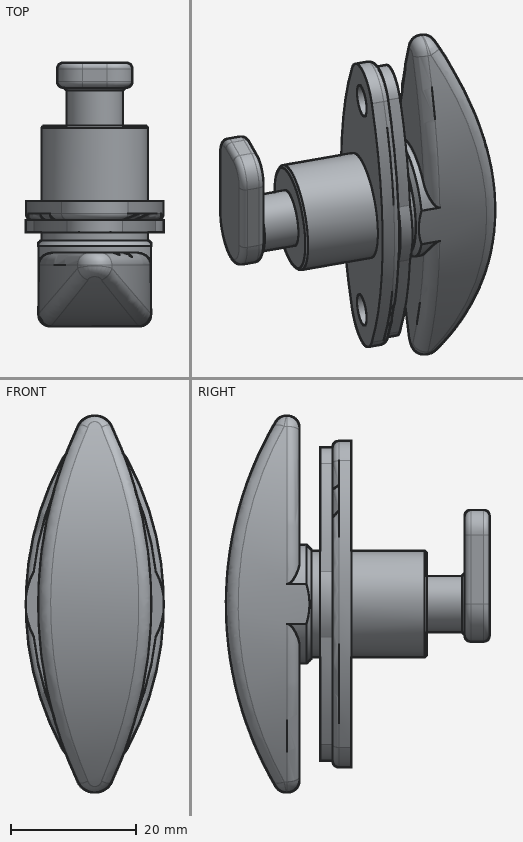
import cadquery as cq
import math


tip_center_z = 20.0
back_plate_width = 22.0
back_plate_half_width = back_plate_width / 2
back_plate_tip_radius = 6.0
back_plate_thickness = 3.0
edge_step = 1.0
front_plate_half_width = back_plate_half_width - edge_step
front_plate_tip_radius = back_plate_tip_radius - edge_step
front_plate_thickness = 2.0
screw_hole_radius = 2.5

barrel_diameter = 17.0
barrel_radius = barrel_diameter / 2
barrel_length = 12.0
barrel_chamfer = 0.35
spacer_length = 1.3
spindle_radius = 4.5

cam_gap = 6.0
cam_thickness = 4.0
cam_half_width = 6.0
cam_top_z = 15.0
cam_corner_radius = 4.0
cam_edge_radius = 1.0
spindle_flare = 0.4

handle_half_length = 30.0
handle_half_width = 9.0
handle_tip_radius = 3.0
handle_front_radius = 57.0
handle_edge_radius = 2.0
collar_radius = 9.5
collar_chamfer = 0.85
collar_length = 1.9
handle_depth = 11.75

back_plate_end = back_plate_thickness
barrel_end = back_plate_end + barrel_length
cam_start = barrel_end + cam_gap
front_plate_face = -front_plate_thickness
collar_face = front_plate_face - spacer_length
handle_back = collar_face - collar_length
handle_front = handle_back - handle_depth


def disc(radius, start, end):
    """Cylinder on the Y axis between two Y places."""
    return cq.Workplane("XZ", origin=(0, end, 0)).circle(radius).extrude(end - start)


def pointed_oval(half_width, tip_z, tip_radius, start, end):
    """Two large side arcs joined by tangent tip arcs, as a prism along Y."""
    side_radius = (tip_z**2 + half_width**2 - tip_radius**2) / (2 * (half_width - tip_radius))
    side_center = side_radius - half_width
    center_distance = math.hypot(side_center, tip_z)
    join_x = tip_radius * side_center / center_distance
    join_z = tip_z + tip_radius * tip_z / center_distance
    end_z = tip_z + tip_radius
    return (
        cq.Workplane("XZ", origin=(0, end, 0))
        .moveTo(join_x, -join_z)
        .threePointArc((half_width, 0), (join_x, join_z))
        .threePointArc((0, end_z), (-join_x, join_z))
        .threePointArc((-half_width, 0), (-join_x, -join_z))
        .threePointArc((0, -end_z), (join_x, -join_z))
        .close()
        .extrude(end - start)
    )


def cut_screw_holes(plate, start, end):
    """Through hole at each tip center of a plate."""
    for side in (1, -1):
        hole = disc(screw_hole_radius, start, end).translate((0, 0, side * tip_center_z))
        plate = plate.cut(hole)
    return plate


def make_back_plate():
    plate = pointed_oval(
        back_plate_half_width, tip_center_z, back_plate_tip_radius, 0, back_plate_end
    )
    plate = plate.faces("<Y").edges().fillet(edge_step)
    plate = cut_screw_holes(plate, 0, back_plate_end)
    return plate.cut(disc(spindle_radius, 0, back_plate_end))


def make_front_plate():
    plate = pointed_oval(
        front_plate_half_width, tip_center_z, front_plate_tip_radius, front_plate_face, 0
    )
    plate = plate.union(disc(back_plate_half_width, front_plate_face, 0))
    plate = cut_screw_holes(plate, front_plate_face, 0)
    return plate.cut(disc(spindle_radius, front_plate_face, 0))


def make_barrel():
    barrel = disc(barrel_radius, back_plate_end, barrel_end)
    barrel = barrel.faces(">Y").edges().chamfer(barrel_chamfer)
    return barrel.cut(disc(spindle_radius, back_plate_end, barrel_end))


def make_spacer():
    spacer = disc(barrel_radius, collar_face, front_plate_face)
    return spacer.cut(disc(spindle_radius, collar_face, front_plate_face))


def make_cam():
    straight_top = cam_top_z - cam_corner_radius
    flat_half_width = cam_half_width - cam_corner_radius
    corner_mid = cam_corner_radius * math.sqrt(0.5)
    cam = (
        cq.Workplane("XZ", origin=(0, cam_start + cam_thickness, 0))
        .moveTo(-cam_half_width, 0)
        .threePointArc((0, -cam_half_width), (cam_half_width, 0))
        .lineTo(cam_half_width, straight_top)
        .threePointArc(
            (flat_half_width + corner_mid, straight_top + corner_mid), (flat_half_width, cam_top_z)
        )
        .lineTo(-flat_half_width, cam_top_z)
        .threePointArc(
            (-flat_half_width - corner_mid, straight_top + corner_mid), (-cam_half_width, straight_top)
        )
        .close()
        .extrude(cam_thickness)
    )
    cam = cam.faces("<Y or >Y").edges().fillet(cam_edge_radius)
    flare = cq.Workplane(
        cq.Solid.makeCone(
            spindle_radius,
            spindle_radius + spindle_flare,
            spindle_flare,
            pnt=cq.Vector(0, cam_start - spindle_flare, 0),
            dir=cq.Vector(0, 1, 0),
        )
    )
    return cam.union(flare).union(disc(spindle_radius, collar_face, cam_start))


def make_handle():
    tip_z = handle_half_length - handle_tip_radius
    grip = pointed_oval(handle_half_width, tip_z, handle_tip_radius, handle_front, handle_back)
    front_cylinder = (
        cq.Workplane("YZ", origin=(-handle_half_width, 0, 0))
        .center(handle_front + handle_front_radius, 0)
        .circle(handle_front_radius)
        .extrude(2 * handle_half_width)
    )
    grip = grip.intersect(front_cylinder)
    grip = grip.faces(">Y").edges().fillet(handle_edge_radius)
    grip = grip.faces("<Y").edges().fillet(handle_edge_radius)

    collar_end = handle_back - handle_edge_radius
    collar = disc(collar_radius, collar_end, collar_face).faces(">Y").edges().chamfer(collar_chamfer)
    collar = collar.intersect(
        pointed_oval(handle_half_width, tip_z, handle_tip_radius, collar_end, collar_face)
    )
    return grip.union(collar)


handle = make_handle()
spacer = make_spacer()
front_plate = make_front_plate()
back_plate = make_back_plate()
barrel = make_barrel()
cam = make_cam()

result = cq.Compound.makeCompound(
    [handle.val(), spacer.val(), front_plate.val(), back_plate.val(), barrel.val(), cam.val()]
)